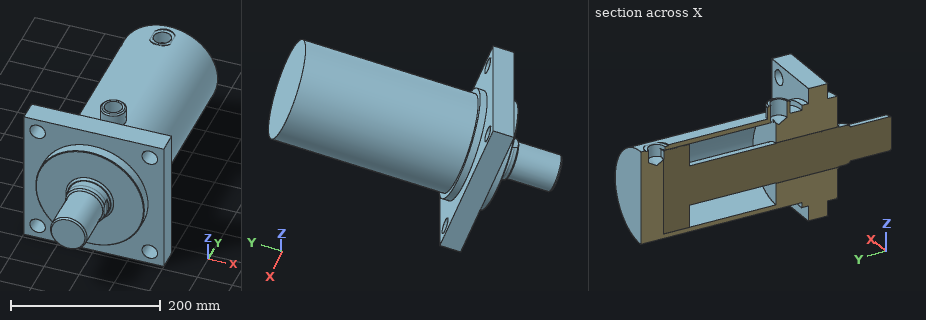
import cadquery as cq
import math


overall_length = 385
hub_front_y = 83
flange_front_y = 98
flange_thickness = 30
hub_rear_step = 10
hub_rear_y = flange_front_y + flange_thickness + hub_rear_step

barrel_diameter = 140
hub_diameter = 155
hub_chamfer = 1
wiper_base_diameter = 68
wiper_tip_diameter = 62
wiper_height = 2.5

flange_side = 200
flange_hole_spacing = 160
flange_hole_diameter = 22

bore_diameter = 125
rear_cap_thickness = 35
bore_rear_y = overall_length - rear_cap_thickness

port_outer_diameter = 35
port_hole_diameter = 24.5
drill_point_angle = 118
port_cone_height = port_hole_diameter / 2 / math.tan(math.radians(drill_point_angle / 2))
front_port_hub_distance = 35
front_port_y = hub_rear_y + front_port_hub_distance
front_port_top_z = 89
front_port_depth = 24
front_port_chamfer = 2
rear_port_end_distance = 24.5
rear_port_y = overall_length - rear_port_end_distance
rear_port_seat_z = 68.5
rear_port_depth = 18
gland_past_port = 4.6
gland_rear_y = front_port_y + gland_past_port

rod_diameter = 60
rod_end_diameter = 52
rod_tip_chamfer_radial = 2
rod_tip_chamfer_axial = 2.5
rod_end_length = 63
rod_shoulder_y = 65
rod_shoulder_diameter = 57.5
rod_full_y = 70
wrench_flat_width = 55
wrench_flat_rear_y = 75
piston_length = 40


def cylinder_along_y(diameter, start_y, end_y):
    """Cylinder on the Y axis between two stations."""
    return (
        cq.Workplane("XZ", origin=(0, start_y, 0))
        .circle(diameter / 2)
        .extrude(-(end_y - start_y))
    )


def cylinder_along_z(diameter, centre_y, bottom_z, top_z):
    """Vertical cylinder above the Y axis."""
    return (
        cq.Workplane("XY", origin=(0, centre_y, bottom_z))
        .circle(diameter / 2)
        .extrude(top_z - bottom_z)
    )


def revolve_about_y(profile):
    """Solid of revolution from (radius, station) points."""
    return cq.Workplane("XY").polyline(profile).close().revolve(360, (0, 0, 0), (0, 1, 0))


def port_hole(centre_y, mouth_z, depth):
    """Blind drilled hole with a conical bottom, opening upwards."""
    radius = port_hole_diameter / 2
    cone_start_z = mouth_z - depth
    return (
        cq.Workplane("XZ", origin=(0, centre_y, 0))
        .polyline([
            (0, mouth_z),
            (radius, mouth_z),
            (radius, cone_start_z),
            (0, cone_start_z - port_cone_height),
        ])
        .close()
        .revolve(360, (0, 0, 0), (0, 1, 0))
    )


def front_port_boss():
    """Round boss with a chamfered rim, rooted in the barrel wall."""
    root_z = bore_diameter / 2
    boss = cylinder_along_z(port_outer_diameter, front_port_y, root_z, front_port_top_z)
    return boss.faces(">Z").edges().chamfer(front_port_chamfer)


def flange_plate():
    """Square plate with four corner holes."""
    return (
        cq.Workplane("XZ", origin=(0, flange_front_y, 0))
        .rect(flange_side, flange_side)
        .rect(flange_hole_spacing, flange_hole_spacing, forConstruction=True)
        .vertices()
        .circle(flange_hole_diameter / 2)
        .extrude(-flange_thickness)
    )


def make_housing():
    """Barrel, hub, flange, wiper lip and ports in one solid."""
    hub = cylinder_along_y(hub_diameter, hub_front_y, hub_rear_y)
    hub = hub.faces("<Y").edges().chamfer(hub_chamfer)
    barrel = cylinder_along_y(barrel_diameter, hub_rear_y, overall_length)
    wiper = revolve_about_y([
        (0, hub_front_y),
        (wiper_base_diameter / 2, hub_front_y),
        (wiper_tip_diameter / 2, hub_front_y - wiper_height),
        (0, hub_front_y - wiper_height),
    ])
    body = barrel.union(hub).union(wiper).union(flange_plate())

    chamber = cylinder_along_y(bore_diameter, gland_rear_y, bore_rear_y)
    rod_passage = cylinder_along_y(rod_diameter, hub_front_y - wiper_height, gland_rear_y)
    rear_seat = cylinder_along_z(
        port_outer_diameter, rear_port_y, rear_port_seat_z, barrel_diameter / 2
    )
    return (
        body.union(front_port_boss().cut(chamber))
        .cut(chamber)
        .cut(rod_passage)
        .cut(rear_seat)
        .cut(port_hole(front_port_y, front_port_top_z, front_port_depth))
        .cut(port_hole(rear_port_y, rear_port_seat_z, rear_port_depth))
    )


def make_rod():
    """Stepped rod with wrench flats and the piston resting on the rear cap."""
    end_radius = rod_end_diameter / 2
    piston_front_y = bore_rear_y - piston_length
    rod = revolve_about_y([
        (0, 0),
        (end_radius - rod_tip_chamfer_radial, 0),
        (end_radius, rod_tip_chamfer_axial),
        (end_radius, rod_end_length),
        (rod_shoulder_diameter / 2, rod_shoulder_y),
        (rod_diameter / 2, rod_full_y),
        (rod_diameter / 2, piston_front_y),
        (bore_diameter / 2, piston_front_y),
        (bore_diameter / 2, bore_rear_y),
        (0, bore_rear_y),
    ])
    flat_length = wrench_flat_rear_y - rod_end_length
    flat_centre_y = (wrench_flat_rear_y + rod_end_length) / 2
    for side in (-1, 1):
        flat_cutter = cq.Workplane("XY").box(rod_diameter, flat_length, rod_diameter)
        flat_centre_x = side * (wrench_flat_width + rod_diameter) / 2
        rod = rod.cut(flat_cutter.translate((flat_centre_x, flat_centre_y, 0)))
    return rod


housing = make_housing()
rod = make_rod()

result = cq.Compound.makeCompound([housing.val(), rod.val()])